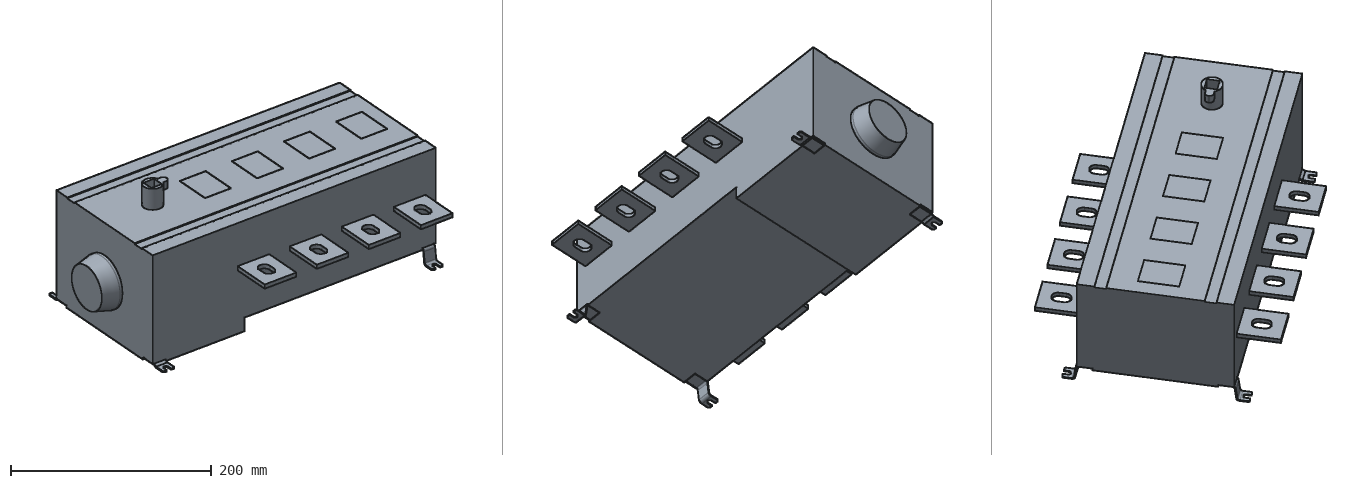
import cadquery as cq
import math

body_width = 160.0
body_length = 353.0
body_top = 129.5
front_floor = 1.0
rear_floor = 17.0
front_block_length = 114.8
half_width = body_width / 2

groove_width = 12.0
groove_inset = 18.0
groove_depth = 1.0

pole_count = 4
pole_pitch = 65.0
last_pole_inset = 32.5
last_pole_y = body_length - last_pole_inset
pole_rows = [last_pole_y - i * pole_pitch for i in range(pole_count)]
window_width = 42.0
window_length = 32.2
window_depth = 0.5

terminal_span = 250.0
terminal_width = 39.5
terminal_thickness = 5.0
terminal_top = 79.5
terminal_slot_length = 20.2
terminal_slot_width = 13.0
terminal_slot_inset = 23.2

knob_z = 62.0
knob_length = 22.0
collar_length = 3.5
knob_radius = 30.0
knob_tip_radius = 25.0

post_y = 60.0
post_radius = 11.0
post_top = 153.8
post_height = post_top - body_top
socket_size = 13.0
nub_width = 9.0
nub_reach = 17.5
nub_height = 9.0
nub_round = 4.0

sheet = 1.5
foot_width = 14.2
foot_reach = 15.5
foot_end_gap = 2.0
foot_notch_width = 5.2
foot_notch_depth = 8.0
foot_corner_radius = 2.0
recess_depth = 16.0
recess_height = 2.2
recess_length = foot_end_gap + foot_width

front_leg_start = 0.0
front_leg_end = 3.5
rear_leg_start = 1.0
rear_leg_end = 3.5
rear_bend_inner_radius = 2.2
rear_bend_outer_radius = rear_bend_inner_radius + sheet


def box(x_range, y_range, z_range):
    """Box given by its low and high limits along each axis."""
    (x0, x1), (y0, y1), (z0, z1) = x_range, y_range, z_range
    return cq.Workplane("XY").box(x1 - x0, y1 - y0, z1 - z0, centered=False).translate((x0, y0, z0))


def make_body():
    """Box with a raised floor behind the front block."""
    outline = [
        (0, front_floor),
        (front_block_length, front_floor),
        (front_block_length, rear_floor),
        (body_length, rear_floor),
        (body_length, body_top),
        (0, body_top),
    ]
    return cq.Workplane("YZ").polyline(outline).close().extrude(half_width, both=True)


def cut_top(body):
    """Cut the two long grooves and the row of windows."""
    groove_x = half_width - groove_inset - groove_width / 2
    for x in (-groove_x, groove_x):
        body = body.cut(
            box(
                (x - groove_width / 2, x + groove_width / 2),
                (0, body_length),
                (body_top - groove_depth, body_top),
            )
        )
    windows = (
        cq.Workplane("XY", origin=(0, 0, body_top))
        .pushPoints([(0, y) for y in pole_rows])
        .rect(window_width, window_length)
        .extrude(-window_depth)
    )
    return body.cut(windows)


def make_terminals():
    """Flat bars through the body, slotted near both ends."""
    slot_x = terminal_span / 2 - terminal_slot_inset
    bars = (
        cq.Workplane("XY", origin=(0, 0, terminal_top))
        .pushPoints([(0, y) for y in pole_rows])
        .rect(terminal_span, terminal_width)
        .extrude(-terminal_thickness)
    )
    slots = (
        cq.Workplane("XY", origin=(0, 0, terminal_top))
        .pushPoints([(x, y) for x in (-slot_x, slot_x) for y in pole_rows])
        .slot2D(terminal_slot_length, terminal_slot_width)
        .extrude(-terminal_thickness)
    )
    return bars.cut(slots)


def make_knob():
    """Turned knob whose axis points out of the front face."""
    profile = [
        (0, 0),
        (knob_radius, 0),
        (knob_radius, -collar_length),
        (knob_tip_radius, -knob_length),
        (0, -knob_length),
    ]
    knob = cq.Workplane("XY").polyline(profile).close().revolve(360, (0, 0), (0, 1))
    return knob.translate((0, 0, knob_z))


def make_post():
    """Round post with a square socket and a round-ended nub at the top."""
    post = cq.Workplane("XY", origin=(0, post_y, body_top)).circle(post_radius).extrude(post_height)
    nub = (
        cq.Workplane("XY", origin=(0, post_y + nub_reach / 2, post_top))
        .rect(nub_width, nub_reach)
        .extrude(-nub_height)
        .edges("|Z and >Y")
        .fillet(nub_round)
    )
    socket = (
        cq.Workplane("XY", origin=(0, post_y, body_top)).rect(socket_size, socket_size).extrude(post_height)
    )
    return post.union(nub).cut(socket)


def make_leg_corners(roof, leg_start, leg_end):
    """Upper and lower corners of a leg as (upper bend, lower bend), on its outer and inner faces."""
    slope = math.atan2(roof - sheet, leg_end - leg_start)
    shift = sheet * math.tan(slope / 2)
    top_x = half_width + leg_start
    fold_x = half_width + leg_end
    outer = [(top_x, roof), (fold_x, sheet)]
    inner = [(top_x - shift, roof - sheet), (fold_x - shift, 0)]
    return outer, inner


def make_foot(y_start, outer, inner):
    """Right-hand foot: strip under the body, sloped leg and notched flat tab."""
    inner_x = half_width - recess_depth
    tip_x = half_width + foot_reach
    roof = outer[0][1]
    section = [
        (inner_x, roof),
        *outer,
        (tip_x, sheet),
        (tip_x, 0),
        *reversed(inner),
        (inner_x, roof - sheet),
    ]
    foot = (
        cq.Workplane("XZ", origin=(0, y_start, 0))
        .polyline(section)
        .close()
        .extrude(-foot_width)
        .edges("|Z and >X")
        .fillet(foot_corner_radius)
    )
    notch = (
        cq.Workplane("XY", origin=(tip_x, y_start + foot_width / 2, 0))
        .slot2D(2 * foot_notch_depth, foot_notch_width)
        .extrude(sheet)
    )
    return foot.cut(notch)


def round_bends(foot, y_start, corners, radius):
    """Round the bend edges that run along Y through the given (x, z) corners."""
    for x, z in corners:
        middle = (x, y_start + foot_width / 2, z)
        foot = foot.edges(cq.NearestToPointSelector(middle)).fillet(radius)
    return foot


def make_front_foot():
    """Foot with a short shallow leg and sharp bends."""
    outer, inner = make_leg_corners(front_floor + recess_height, front_leg_start, front_leg_end)
    return make_foot(foot_end_gap, outer, inner)


def make_rear_foot():
    """Foot with a long steep leg and rounded bends."""
    y_start = body_length - recess_length
    outer, inner = make_leg_corners(rear_floor + recess_height, rear_leg_start, rear_leg_end)
    foot = make_foot(y_start, outer, inner)
    foot = round_bends(foot, y_start, [outer[0], inner[1]], rear_bend_outer_radius)
    return round_bends(foot, y_start, [outer[1], inner[0]], rear_bend_inner_radius)


def make_recess(y_start, floor):
    """Right-hand recess in the underside, open at the side and end of the body."""
    return box(
        (half_width - recess_depth, half_width),
        (y_start, y_start + recess_length),
        (floor, floor + recess_height),
    )


def add_both_sides(body, recess, foot):
    """Fit a foot in its recess on the right and its mirror image on the left."""
    body = body.cut(recess).cut(recess.mirror("YZ"))
    return body.union(foot).union(foot.mirror("YZ"))


result = cut_top(make_body())
result = result.union(make_terminals()).union(make_knob()).union(make_post())
result = add_both_sides(result, make_recess(0, front_floor), make_front_foot())
result = add_both_sides(result, make_recess(body_length - recess_length, rear_floor), make_rear_foot())